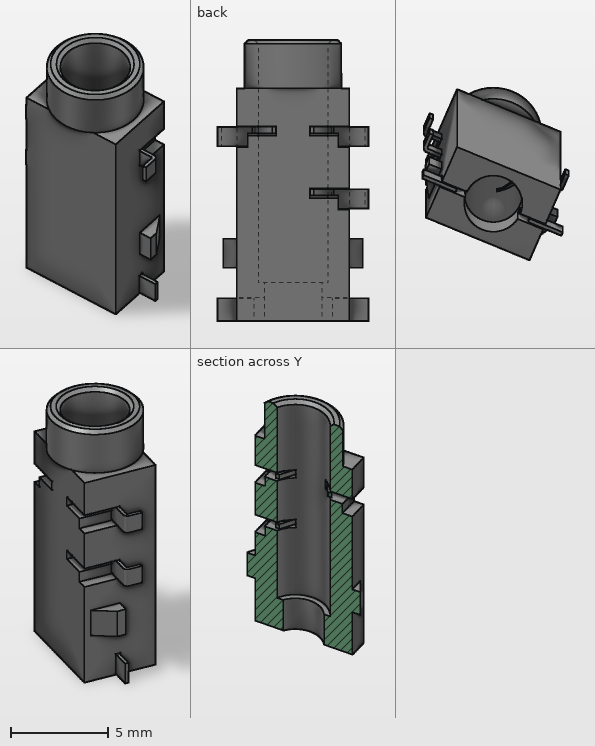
import cadquery as cq
import math

height = 14.5
block_width = 5.8
block_depth = 4.09
block_height = 11.99

collar_diameter = 5.0
collar_chamfer = 0.2
bore_radius = 1.8
bore_chamfer = 0.2
lower_hole_radius = 1.5
lower_hole_depth = 2.0

sheet = 0.2
sheet_front = 0.0
sheet_back = sheet_front + sheet
clearance = 0.051
contact_reach = 3.9

tab_height = 1.0
tab_drop = 0.78
bend_radius = 0.05
outer_bend_radius = bend_radius + sheet
upper_tab_top = 10.0
tab_pitch = 3.2
spring_height = 0.32
spring_angle = math.radians(58)
spring_distance = 1.68
spring_tip_y = 1.85

recess_depth = 0.58
recess_x = block_width / 2 - recess_depth
pocket_height = 0.51
pocket_x = 0.87

tail_height = 1.19
tail_length = 1.87

wedge_reach = 3.6
wedge_bottom = 2.74
wedge_height = 1.51
wedge_slope_start = 0.5
wedge_slope_end = 1.7

spring_places = [
    (-1, upper_tab_top),
    (1, upper_tab_top),
    (-1, upper_tab_top - tab_pitch),
]
sides = (-1, 1)


def box(x0, x1, y0, y1, z0, z1):
    """Box between two opposite corners."""
    return cq.Workplane("XY").box(x1 - x0, y1 - y0, z1 - z0, centered=False).translate((x0, y0, z0))


def on_side(shape, side):
    """Shape modelled on the -X side, mirrored when it belongs on the +X side."""
    return shape if side < 0 else shape.mirror("YZ")


def housing_block():
    """Block and collar with the stepped hole through both."""
    block = cq.Workplane("XY").rect(block_width, block_depth).extrude(block_height)
    collar = (
        cq.Workplane("XY", origin=(0, 0, block_height))
        .circle(collar_diameter / 2)
        .extrude(height - block_height)
        .faces(">Z")
        .chamfer(collar_chamfer)
    )
    bore = (
        cq.Workplane("XZ")
        .moveTo(0, 0)
        .lineTo(lower_hole_radius, 0)
        .lineTo(lower_hole_radius, lower_hole_depth)
        .lineTo(bore_radius, lower_hole_depth)
        .lineTo(bore_radius, height - bore_chamfer)
        .lineTo(bore_radius + bore_chamfer, height)
        .lineTo(0, height)
        .close()
        .revolve(360, (0, 0, 0), (0, 1, 0))
    )
    return block.union(collar).cut(bore)


def wedge():
    """Locating wedge on the -X side, sloping back to the block."""
    return (
        cq.Workplane("XY", origin=(0, 0, wedge_bottom))
        .moveTo(-block_width / 2, sheet_front)
        .lineTo(-wedge_reach, sheet_front)
        .lineTo(-wedge_reach, wedge_slope_start)
        .lineTo(-block_width / 2, wedge_slope_end)
        .close()
        .extrude(wedge_height)
    )


def spring_opening(tab_top):
    """Recess for the tab and deeper pocket for the spring, both open to the back."""
    top = tab_top + clearance
    back = block_depth / 2
    recess = box(-block_width / 2, -recess_x, sheet_front, back, tab_top - tab_height - clearance, top)
    pocket = box(-block_width / 2, -pocket_x, sheet_front, back, top - pocket_height, top)
    return recess.union(pocket)


def tail_slot():
    """Slot across the bottom of the block, with clearance around both tails."""
    return box(
        -block_width / 2, block_width / 2,
        sheet_front - clearance, sheet_back + clearance,
        0, tail_height + clearance,
    )


def spring_contact(tab_top):
    """Bent sheet on the -X side: a hooked tab outside, a narrower sloping spring inside."""
    tab = (
        cq.Workplane("XY", origin=(0, 0, tab_top - tab_height))
        .moveTo(-recess_x, sheet_back)
        .lineTo(-contact_reach + outer_bend_radius, sheet_back)
        .radiusArc((-contact_reach, sheet_back - outer_bend_radius), -outer_bend_radius)
        .lineTo(-contact_reach, sheet_front - tab_drop)
        .lineTo(-contact_reach + sheet, sheet_front - tab_drop)
        .lineTo(-contact_reach + sheet, sheet_front - bend_radius)
        .radiusArc((-contact_reach + outer_bend_radius, sheet_front), bend_radius)
        .lineTo(-recess_x, sheet_front)
        .close()
        .extrude(tab_height)
    )

    def spring_x(distance, y):
        """X where the sloping face at this distance from the axis reaches y."""
        return (y * math.cos(spring_angle) - distance) / math.sin(spring_angle)

    outer_distance = spring_distance + sheet
    tip_outer_x = spring_x(outer_distance, spring_tip_y)
    tip_inner_x = tip_outer_x + sheet * math.sin(spring_angle)
    tip_inner_y = spring_tip_y - sheet * math.cos(spring_angle)
    spring = (
        cq.Workplane("XY", origin=(0, 0, tab_top - spring_height))
        .moveTo(-recess_x, sheet_back)
        .lineTo(spring_x(outer_distance, sheet_back), sheet_back)
        .lineTo(tip_outer_x, spring_tip_y)
        .lineTo(tip_inner_x, tip_inner_y)
        .lineTo(spring_x(spring_distance, sheet_front), sheet_front)
        .lineTo(-recess_x, sheet_front)
        .close()
        .extrude(spring_height)
    )
    return tab.union(spring)


def tail_contact():
    """Flat tail on the -X side, standing out of the bottom slot."""
    return box(-contact_reach, -contact_reach + tail_length, sheet_front, sheet_back, 0, tail_height)


housing = housing_block().cut(tail_slot())
for side in sides:
    housing = housing.union(on_side(wedge(), side))
for side, tab_top in spring_places:
    housing = housing.cut(on_side(spring_opening(tab_top), side))

spring_contacts = [on_side(spring_contact(tab_top), side) for side, tab_top in spring_places]
tail_contacts = [on_side(tail_contact(), side) for side in sides]

result = cq.Compound.makeCompound(
    [housing.val()]
    + [contact.val() for contact in spring_contacts]
    + [contact.val() for contact in tail_contacts]
)